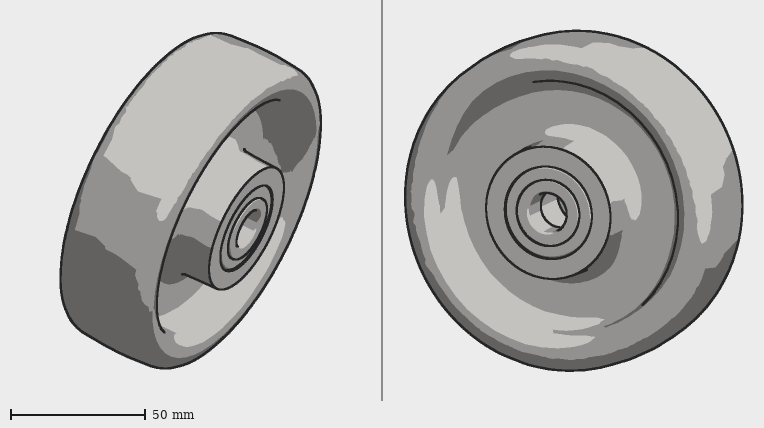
import cadquery as cq
import math

wheel_radius = 62.5
wheel_half_width = 20.0
crown_drop = 1.6
web_half_thickness = 5.0
profile_fillet = 6.5
rim_lip_radius = 48.7
rim_draft = 7.5
hub_radius = 25.0
hub_half_length = 25.0
hub_draft = 2.0

bearing_radius = 17.5
bearing_bore_radius = 7.5
bearing_depth = 11.0
bearing_edge_fillet = 1.2
bore_fillet = 1.0
inner_ring_radius = 12.5
inner_ring_height = 1.0
inner_ring_fillet = 0.5

bearing_seat_x = hub_half_length - bearing_depth
inner_ring_face_x = hub_half_length + inner_ring_height

shoulder_bore_radius = inner_ring_radius


def revolve_about_x(profile):
    """Turn a closed profile drawn as (X, radius) about the X axis."""
    return profile.revolve(360, (0, 0, 0), (1, 0, 0))


def fillet_rim(body, x, radius, fillet_radius):
    """Round the circular edge that lies at the given X and radius."""
    selection_margin = 0.01

    def slab(half_size):
        low = (x - selection_margin, -half_size, -half_size)
        high = (x + selection_margin, half_size, half_size)
        return cq.selectors.BoxSelector(low, high, boundingbox=True)

    outside = slab(radius + selection_margin)
    inside = slab(radius - selection_margin)
    return body.edges(outside - inside).fillet(fillet_radius)


def drafted_rise(length, draft):
    """Change of radius of a drafted wall over an axial length."""
    return length * math.tan(math.radians(draft))


def make_half_wheel():
    """The wheel on the +X side of its middle plane, still without the bearing bore."""
    hub_root_radius = hub_radius + drafted_rise(hub_half_length - web_half_thickness, hub_draft)
    rim_root_radius = rim_lip_radius - drafted_rise(wheel_half_width - web_half_thickness, rim_draft)
    side_radius = wheel_radius - crown_drop
    crown_arc_radius = (wheel_half_width**2 + crown_drop**2) / (2 * crown_drop)
    crown_mid_x = wheel_half_width / 2
    crown_mid_radius = wheel_radius - crown_arc_radius + math.sqrt(crown_arc_radius**2 - crown_mid_x**2)
    profile = (
        cq.Workplane("XY")
        .lineTo(hub_half_length, 0)
        .lineTo(hub_half_length, hub_radius)
        .lineTo(web_half_thickness, hub_root_radius)
        .lineTo(web_half_thickness, rim_root_radius)
        .lineTo(wheel_half_width, rim_lip_radius)
        .lineTo(wheel_half_width, side_radius)
        .threePointArc((crown_mid_x, crown_mid_radius), (0, wheel_radius))
        .close()
    )
    half = revolve_about_x(profile)
    rounded_rims = [
        (web_half_thickness, hub_root_radius),
        (web_half_thickness, rim_root_radius),
        (wheel_half_width, rim_lip_radius),
        (wheel_half_width, side_radius),
    ]
    for x, radius in rounded_rims:
        half = fillet_rim(half, x, radius, profile_fillet)
    return half


def make_wheel():
    half = make_half_wheel()
    body = half.union(half.mirror("YZ"))
    body = body.cut(cq.Workplane("YZ").circle(shoulder_bore_radius).extrude(hub_half_length, both=True))
    for side in (-1, 1):
        seat = cq.Workplane("YZ", origin=(side * bearing_seat_x, 0, 0)).circle(bearing_radius)
        body = body.cut(seat.extrude(side * bearing_depth))
    return body


def make_bearing(side):
    """Bearing in the -X (side = -1) or +X (side = 1) end of the hub, its inner ring standing proud."""
    profile = (
        cq.Workplane("XY")
        .moveTo(bearing_seat_x, bearing_bore_radius)
        .lineTo(bearing_seat_x, bearing_radius)
        .lineTo(hub_half_length, bearing_radius)
        .lineTo(hub_half_length, inner_ring_radius)
        .lineTo(inner_ring_face_x, inner_ring_radius)
        .lineTo(inner_ring_face_x, bearing_bore_radius)
        .close()
    )
    body = revolve_about_x(profile)
    body = fillet_rim(body, hub_half_length, bearing_radius, bearing_edge_fillet)
    body = fillet_rim(body, inner_ring_face_x, inner_ring_radius, inner_ring_fillet)
    body = fillet_rim(body, inner_ring_face_x, bearing_bore_radius, bore_fillet)
    if side < 0:
        body = body.mirror("YZ")
    return body


wheel = make_wheel()
bearings = [make_bearing(side) for side in (-1, 1)]

result = cq.Compound.makeCompound([wheel.val(), *[bearing.val() for bearing in bearings]])